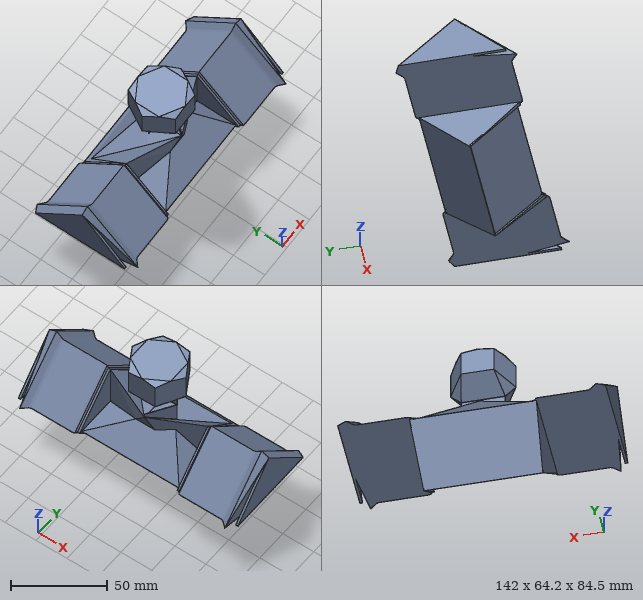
import cadquery as cq
import math


hub_half_length = 31.5
hub_half_width = 26.7
front_half_width = 25.0
ridge_height = 26.4
cap_depth = 2.1

saddle_radius = 12.8
saddle_back_y = 10.6
saddle_side_height = 23.0
saddle_end_radius = 11.6
saddle_end_height = 17.0
front_notch_height = 14.3
notch_left = -7.1
notch_right = 5.4
notch_peak_x = 15.6
notch_peak_height = 18.5
back_bevel_inset = 2.1
back_bevel_height = 2.8

collar_thickness = 0.3
collar_front_rise = 2.4
collar_root = 0.5

run_half_length = 71.0
rim_radius = 29.8
bead_radius = 32.1
bead_x = 66.3
flank_radius = 29.0
flank_x = 62.8
barrel_radius = 28.4
barrel_outer_x = 61.5
barrel_inner_x = 35.1
shoulder_radius = 28.1
shoulder_x = 33.7
step_radius = 27.0
step_x = 32.8
lip_thickness = 1.4
lip_half_width = 27.0

total_height = 84.5
hex_across_flats = 30.1
hex_top = total_height - hub_half_width
hex_corner_drop = 1.4
hex_bottom = 40.8
neck_top = 35.2
neck_bottom = 29.3
neck_half_width = saddle_end_radius
neck_thickness = 0.3


def polyhedron(faces):
    """Solid bounded by flat faces, each given as a list of corner points."""
    flat_faces = []
    for corners in faces:
        outline = cq.Wire.makePolygon([cq.Vector(*corner) for corner in corners], close=True)
        flat_faces.append(cq.Face.makeFromWires(outline))
    return cq.Workplane(obj=cq.Solid.makeSolid(cq.Shell.makeShell(flat_faces)))


def mirrored_x(point):
    x, y, z = point
    return (-x, y, z)


def make_hub_top():
    """Upper half of the hub: a ridge roof whose middle is cut down to the branch saddle.

    Both ends of its front are hollowed back to the midplane.
    """
    front_l = (-hub_half_length, -front_half_width, 0)
    back_l = (-hub_half_length, hub_half_width, 0)
    floor_l = (-hub_half_length, 0, 0)
    ridge_l = (-hub_half_length, 0, ridge_height)
    bevel_l = (back_bevel_inset - hub_half_length, hub_half_width - back_bevel_height, back_bevel_height)
    saddle_l = (-saddle_end_radius, 0, saddle_end_height)
    front_r, back_r, floor_r, ridge_r, bevel_r, saddle_r = map(
        mirrored_x, (front_l, back_l, floor_l, ridge_l, bevel_l, saddle_l)
    )
    saddle_front = (0, -saddle_radius, saddle_side_height)
    saddle_back = (0, saddle_back_y, saddle_side_height)
    notch_y = front_notch_height - front_half_width
    notch_l = (notch_left, notch_y, front_notch_height)
    notch_r = (notch_right, notch_y, front_notch_height)
    notch_peak = (notch_peak_x, notch_peak_height - front_half_width, notch_peak_height)

    faces = [
        [front_l, front_r, floor_r, back_r, back_l, floor_l],
        [front_l, front_r, notch_peak, notch_r, notch_l],
        [front_l, notch_l, floor_l],
        [floor_l, notch_l, ridge_l],
        [ridge_l, notch_l, saddle_front],
        [notch_l, notch_r, saddle_front],
        [notch_r, ridge_r, saddle_front],
        [notch_r, notch_peak, ridge_r],
        [notch_peak, floor_r, ridge_r],
        [notch_peak, front_r, floor_r],
        [back_l, back_r, bevel_r, bevel_l],
        [bevel_l, bevel_r, saddle_back],
    ]
    sides = [
        (back_l, floor_l, ridge_l, bevel_l, saddle_l),
        (back_r, floor_r, ridge_r, bevel_r, saddle_r),
    ]
    for back, floor, ridge, bevel, saddle_end in sides:
        faces += [
            [floor, back, ridge],
            [back, bevel, ridge],
            [bevel, saddle_end, ridge],
            [bevel, saddle_back, saddle_end],
            [ridge, saddle_end, saddle_front],
            [saddle_end, saddle_back, saddle_front],
        ]
    return polyhedron(faces)


def make_hub_bottom():
    """Lower half of the hub: a V section with its front wall set in."""
    section = [
        (hub_half_width, 0),
        (0, -hub_half_width),
        (0, -front_half_width),
        (-front_half_width, 0),
    ]
    return cq.Workplane("YZ").polyline(section).close().extrude(hub_half_length, both=True)


def make_end_cap(side):
    """Triangular cap that closes one end of the hub's V and slants in toward the bottom."""
    inner_x = side * hub_half_length
    outer_x = side * (hub_half_length + cap_depth)
    inner_back = (inner_x, hub_half_width, 0)
    inner_front = (inner_x, -hub_half_width, 0)
    outer_back = (outer_x, hub_half_width, 0)
    outer_front = (outer_x, -hub_half_width, 0)
    bottom = (inner_x, 0, -hub_half_width)
    return polyhedron([
        [inner_back, inner_front, outer_front, outer_back],
        [inner_back, inner_front, bottom],
        [outer_back, outer_front, bottom],
        [inner_back, outer_back, bottom],
        [inner_front, outer_front, bottom],
    ])


def make_collar():
    """Thin upright panel on the front right edge of the saddle."""
    end_root = cq.Vector(saddle_end_radius, 0, saddle_end_height - collar_root)
    front_root = cq.Vector(0, -saddle_radius, saddle_side_height - collar_root)
    front_top = cq.Vector(0, -saddle_radius, saddle_side_height + collar_front_rise)
    end_top = cq.Vector(saddle_end_radius, 0, neck_bottom)
    outline = cq.Wire.makePolygon([end_root, front_root, front_top, end_top], close=True)
    inward = cq.Vector(-saddle_radius, saddle_end_radius, 0).normalized()
    return cq.Workplane(obj=cq.Solid.extrudeLinear(outline, [], inward * collar_thickness))


def make_hub():
    hub = make_hub_top().union(make_hub_bottom()).union(make_collar())
    for side in (-1, 1):
        hub = hub.union(make_end_cap(side))
    return hub


def socket_length(outer_x, outer_radius, inner_x, inner_radius):
    """Ridge-roof length of the left socket, tapering between two triangular sections."""
    sections = []
    for x, radius in ((outer_x, outer_radius), (inner_x, inner_radius)):
        corners = [(-x, radius, 0), (-x, 0, radius), (-x, -radius, 0)]
        sections.append(cq.Wire.makePolygon([cq.Vector(*c) for c in corners], close=True))
    return cq.Workplane(obj=cq.Solid.makeLoft(sections, True))


def make_left_socket():
    stations = [
        (run_half_length, rim_radius),
        (bead_x, bead_radius),
        (flank_x, flank_radius),
        (barrel_outer_x, barrel_radius),
        (barrel_inner_x, barrel_radius),
        (shoulder_x, shoulder_radius),
        (step_x, step_radius),
        (hub_half_length, hub_half_width),
    ]
    socket = socket_length(*stations[0], *stations[1])
    for outer, inner in zip(stations[1:], stations[2:]):
        socket = socket.union(socket_length(*outer, *inner))

    mouth_cut = (
        cq.Workplane("XY")
        .polyline([(-run_half_length, 0), (-bead_x, -bead_radius), (-run_half_length, -bead_radius)])
        .close()
        .extrude(bead_radius)
    )
    lip = (
        cq.Workplane("YZ", origin=(-run_half_length, 0, 0))
        .polyline([(0, 0), (0, rim_radius), (-lip_half_width, 0)])
        .close()
        .extrude(lip_thickness)
    )
    return socket.cut(mouth_cut).union(lip)


def make_hex_fitting():
    """Hexagon with planed-off top corners, a roof-shaped underside and a thin flat neck."""
    flat_radius = hex_across_flats / 2
    corner_radius = flat_radius / math.cos(math.radians(30))
    bottom, shoulder, crown = [], [], []
    for i in range(6):
        angle = math.radians(60 * i)
        x, y = corner_radius * math.cos(angle), corner_radius * math.sin(angle)
        bottom.append((x, y, hex_bottom))
        shoulder.append((x, y, hex_top - hex_corner_drop))
        middle = angle + math.radians(30)
        crown.append((flat_radius * math.cos(middle), flat_radius * math.sin(middle), hex_top))

    faces = [crown]
    for i in range(6):
        j = (i + 1) % 6
        faces.append([bottom[i], bottom[j], shoulder[j], crown[i], shoulder[i]])
        faces.append([crown[i - 1], shoulder[i], crown[i]])

    half = neck_thickness / 2
    back_r = (neck_half_width, half, neck_top)
    back_l = (-neck_half_width, half, neck_top)
    front_l = (-neck_half_width, -half, neck_top)
    front_r = (neck_half_width, -half, neck_top)
    faces += [
        [back_r, back_l, front_l, front_r],
        [bottom[1], bottom[2], back_l, back_r],
        [bottom[4], bottom[5], front_r, front_l],
        [bottom[0], bottom[1], back_r],
        [bottom[2], bottom[3], back_l],
        [bottom[3], bottom[4], front_l],
        [bottom[5], bottom[0], front_r],
        [bottom[0], back_r, front_r],
        [bottom[3], front_l, back_l],
    ]
    neck = cq.Workplane("XY", origin=(0, 0, neck_bottom)).rect(2 * neck_half_width, neck_thickness)
    return polyhedron(faces).union(neck.extrude(neck_top - neck_bottom))


hub = make_hub()
left_socket = make_left_socket()
sockets = [left_socket, left_socket.mirror("YZ")]
hex_fitting = make_hex_fitting()

result = cq.Compound.makeCompound([hub.val(), *[socket.val() for socket in sockets], hex_fitting.val()])